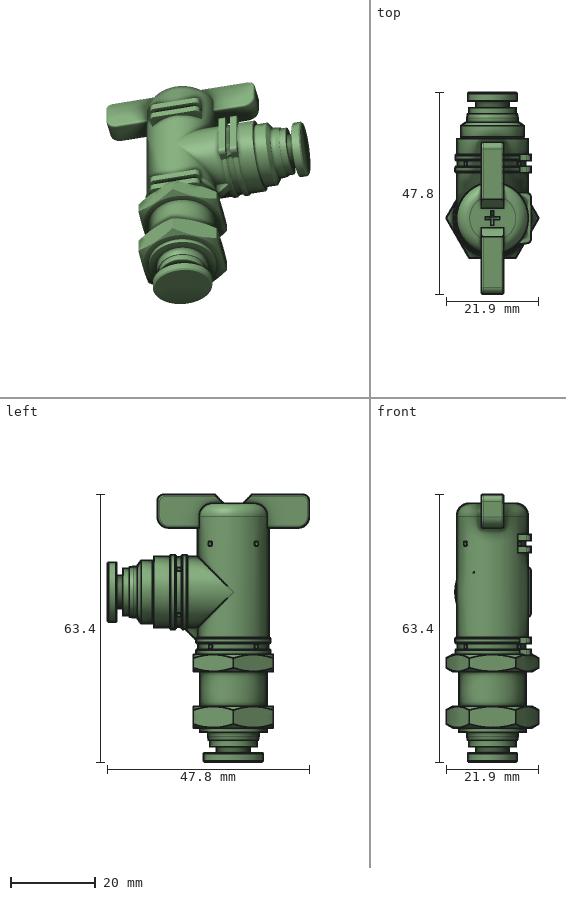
import cadquery as cq
import math

total_height = 63.35
branch_tip_y = 29.8
branch_axis_z = 40.2
body_radius = 8.5
body_bottom_z = 21.35
body_top_z = 61.25
dome_radius = 3.05
branch_end_y = 18.8

disc_half_width = 5.9
disc_half_length = 7.1
disc_height = 2.15
disc_tip_chamfer = 0.3
disc_back_chamfer = 0.16
neck_radius = 4.0
neck_top = 3.6
tip_radius = 5.65
tip_top = 5.1
step_radius = 5.9
sleeve_radius = 6.1
sleeve_start = 6.1
cartridge_length = 7.1

stem_radius = 8.0
nut_across_flats = 19.0
nut_face_radius = 9.3
nut_chamfer_angle = 30.0
lower_nut_z = 8.05
lower_nut_height = 5.2
upper_nut_z = body_bottom_z
upper_nut_height = 4.2

collar_radius = 7.55
collar_neck_radius = 7.2
collar_cone_radius = 6.35
collar_neck_chamfer = 0.4
collar_cone_length = 0.9

seat_gap = 1.25
flange_thickness = 1.5
flange_offset = (seat_gap + flange_thickness) / 2
rib_radius = 8.9
rib_chamfer = 0.3
groove_radius = 8.35
tab_reach = 9.2
tab_half_width = 6.0
tab_corner_radius = 1.2
seat_flat_x = 7.9
cut_margin = 0.65
dimple_radius = 0.6
dimple_offset_y = 5.5
lower_seat_z = 27.35
upper_seat_z = 51.7
branch_seat_y = 12.9

handle_half_length = 18.0
handle_width = 5.3
handle_bottom_z = 55.35
handle_gap_half = 2.35
handle_top_radius = 1.6
handle_bottom_radius = 2.7
handle_edge_radius = 0.5

recess_length = 3.4
recess_width = 0.7
recess_depth = 1.7

web_thickness = 1.9
web_foot_y = 11.65
web_inner_y = 7.0
web_root_depth = 1.9


def cylinder(radius, bottom, top):
    return cq.Workplane("XY").workplane(offset=bottom).circle(radius).extrude(top - bottom)


def turned(profile):
    """Solid of revolution about Z from (radius, height) points."""
    return cq.Workplane("XZ").polyline(profile).close().revolve(360, (0, 0), (0, 1))


def along_branch(shape, y):
    """Turn a shape's +Z axis to +Y and place its origin on the branch axis."""
    return shape.rotate((0, 0, 0), (1, 0, 0), -90).translate((0, y, branch_axis_z))


def cartridge():
    """Push-in cartridge standing on its tip, with an oval release disc."""
    profile = [
        (0, 0),
        (neck_radius, 0),
        (neck_radius, neck_top),
        (tip_radius, neck_top),
        (tip_radius, tip_top),
        (step_radius, tip_top),
        (sleeve_radius, sleeve_start),
        (sleeve_radius, cartridge_length),
        (0, cartridge_length),
    ]
    shank = turned(profile)
    disc = cq.Workplane("XY").ellipse(disc_half_width, disc_half_length).extrude(disc_height)
    disc = disc.faces("<Z").edges().chamfer(disc_tip_chamfer)
    disc = disc.faces(">Z").edges().chamfer(disc_back_chamfer)
    return shank.union(disc)


def nut(bottom, height):
    """Hexagon nut with both ends chamfered by a cone."""
    corner_radius = nut_across_flats / 2 / math.cos(math.pi / 6)
    drop = (corner_radius - nut_face_radius) * math.tan(math.radians(nut_chamfer_angle))
    hexagon = cq.Workplane("XY").polygon(6, 2 * corner_radius).extrude(height)
    envelope_profile = [
        (0, 0),
        (nut_face_radius, 0),
        (corner_radius, drop),
        (corner_radius, height - drop),
        (nut_face_radius, height),
        (0, height),
    ]
    envelope = turned(envelope_profile)
    return hexagon.intersect(envelope).translate((0, 0, bottom))


def collar():
    """Chamfered collar that starts at the branch end and runs along +Z."""
    length = branch_tip_y - cartridge_length - branch_end_y
    profile = [
        (0, 0),
        (collar_neck_radius, 0),
        (collar_radius, collar_neck_chamfer),
        (collar_radius, length - collar_cone_length),
        (collar_cone_radius, length),
        (0, length),
    ]
    return turned(profile)


def seat_flanges(ribbed):
    """Tab pair centred on the origin, with full ribs if asked for."""
    flanges = cq.Workplane("XY")
    for side in (-1, 1):
        bottom = side * flange_offset - flange_thickness / 2
        tab = (
            cq.Workplane("XY")
            .box(tab_reach, 2 * tab_half_width, flange_thickness, centered=(False, True, False))
            .edges("|Z and >X")
            .fillet(tab_corner_radius)
            .translate((0, 0, bottom))
        )
        flanges = flanges.union(tab)
        if ribbed:
            rib = cylinder(rib_radius, bottom, bottom + flange_thickness).edges().chamfer(rib_chamfer)
            flanges = flanges.union(rib)
    return flanges


def seat_cuts(ribbed):
    """Flat on the +X side of the gap, four dimples and, if ribbed, the groove."""
    floor_radius = groove_radius if ribbed else body_radius
    blank = cylinder(tab_reach + cut_margin, -seat_gap / 2, seat_gap / 2)
    flat = (
        cq.Workplane("XY")
        .box(tab_reach, 2 * body_radius, seat_gap, centered=(False, True, True))
        .translate((seat_flat_x, 0, 0))
    )
    cuts = blank.cut(cylinder(floor_radius, -seat_gap, seat_gap)).union(flat)
    dimple_x = math.sqrt(body_radius**2 - dimple_offset_y**2)
    for x in (-dimple_x, dimple_x):
        for y in (-dimple_offset_y, dimple_offset_y):
            cuts = cuts.union(cq.Workplane("XY").sphere(dimple_radius).translate((x, y, 0)))
    return cuts


def wing(side):
    """One handle wing on the given side of the XZ plane, sloped at 45 degrees inside."""
    wing_height = total_height - handle_bottom_z
    slope_run = total_height - body_top_z
    blank = (
        cq.Workplane("XY")
        .box(handle_width, handle_half_length, wing_height, centered=(True, False, False))
        .translate((0, 0, handle_bottom_z))
        .edges(">Y and >Z")
        .fillet(handle_top_radius)
        .edges(">Y and <Z")
        .fillet(handle_bottom_radius)
        .faces("<X or >X")
        .edges("not <Y")
        .fillet(handle_edge_radius)
    )
    clearance = (
        cq.Workplane("YZ")
        .moveTo(0, body_top_z)
        .lineTo(handle_gap_half, body_top_z)
        .lineTo(handle_gap_half + slope_run, total_height)
        .lineTo(0, total_height)
        .close()
        .extrude(handle_width, both=True)
    )
    shape = blank.cut(clearance)
    return shape if side > 0 else shape.mirror("XZ")


def cross_recess():
    """Cross-shaped recess whose floor runs down a cone to the centre."""
    cross = cq.Workplane("XY").box(recess_length, recess_width, 2 * recess_depth)
    cross = cross.union(cq.Workplane("XY").box(recess_width, recess_length, 2 * recess_depth))
    cone_profile = [(0, -recess_depth), (recess_length / 2, 0), (0, 0)]
    cone = turned(cone_profile)
    return cross.intersect(cone).translate((0, 0, body_top_z))


def web():
    """Triangular web at 45 degrees between the branch and the body."""
    under_branch_z = branch_axis_z - body_radius
    root_z = under_branch_z + web_root_depth
    leg = web_foot_y + web_root_depth - web_inner_y
    return (
        cq.Workplane("YZ")
        .moveTo(web_inner_y, root_z)
        .lineTo(web_inner_y + leg, root_z)
        .lineTo(web_inner_y, root_z - leg)
        .close()
        .extrude(web_thickness / 2, both=True)
    )


body = cylinder(body_radius, body_bottom_z, body_top_z).faces(">Z").edges().fillet(dome_radius)
body = body.rotate((0, 0, 0), (0, 0, 1), -90)
body = body.union(along_branch(cylinder(body_radius, 0, branch_end_y), 0))
body = body.union(web())
body = body.union(cylinder(stem_radius, cartridge_length, body_bottom_z))

body = body.union(seat_flanges(True).translate((0, 0, lower_seat_z)))
body = body.union(seat_flanges(False).translate((0, 0, upper_seat_z)))
body = body.union(along_branch(seat_flanges(True), branch_seat_y))
body = body.cut(seat_cuts(True).translate((0, 0, lower_seat_z)))
body = body.cut(seat_cuts(False).translate((0, 0, upper_seat_z)))
body = body.cut(along_branch(seat_cuts(True), branch_seat_y))

body = body.union(nut(lower_nut_z, lower_nut_height))
body = body.union(nut(upper_nut_z, upper_nut_height))

body = body.union(cartridge())
body = body.union(along_branch(collar(), branch_end_y))
body = body.union(along_branch(cartridge().rotate((0, 0, 0), (1, 0, 0), 180), branch_tip_y))

for side in (-1, 1):
    body = body.union(wing(side))

result = body.cut(cross_recess())